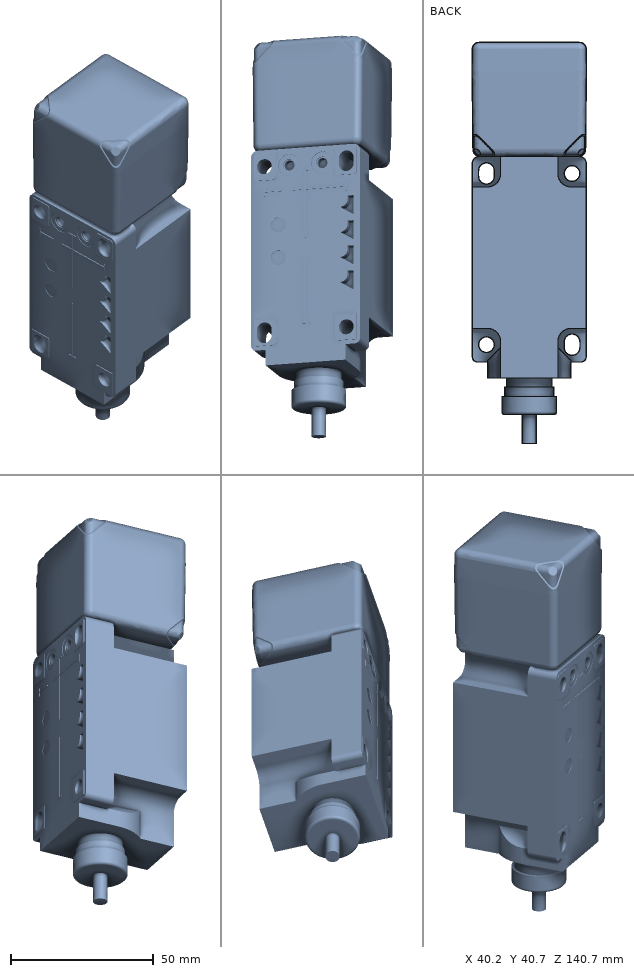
import cadquery as cq
import math

total_height = 140.65
hole_spacing_x = 30.0
hole_spacing_z = 60.0

head_size = 40.0
head_bottom = total_height - head_size
head_split_z = 130.4
head_split_half = 20.09
head_front_y = -20.0
head_front_setback = 0.03
head_bottom_half = 19.77
head_top_half = 20.0
head_fillet = 2.5
split_tolerance = 0.01

window_leg = 9.5
window_depth = 0.4
window_flat_leg = 5.1

housing_half = 20.0
housing_front_y = -20.35
housing_depth = 40.0
housing_back_y = housing_front_y + housing_depth
flange_thickness = 11.0
flange_back_y = housing_front_y + flange_thickness
flange_bottom = 28.5
flange_top_radius = 2.5
flange_bottom_radius = 2.0
housing_bottom = 22.9
core_half = 10.0
core_top_pocket_z = 89.9
core_bottom_pocket_z = 40.4
pocket_radius = 4.8

cable_y = -4.2
outlet_half = 14.6
outlet_slope_low_z = 29.1
gland_neck_radius = 8.0
gland_neck_bottom = 19.8
gland_collar_radius = 8.65
gland_collar_bottom = 16.5
gland_nut_radius = 9.62
gland_nut_bottom = 10.1
gland_nut_edge_radius = 1.0
cable_radius = 2.5

hole_diameter = 5.4
slot_length = 7.4
upper_hole_z = 94.65
lower_hole_z = upper_hole_z - hole_spacing_z
raised_height = 0.28
pad_inner_x = 10.8
pad_outer_x = 18.8
upper_pad_z = (89.7, 99.5)
lower_pad_z = (30.0, 39.35)
upper_pad_radius = 1.0
lower_pad_radius = 0.7
screw_x = 6.05
screw_seat_diameter = 8.0
screw_socket_diameter = 3.6
screw_rim_diameter = 4.4
screw_socket_depth = 3.0
lamp_x = -10.0
lamp_zs = (73.3, 61.5)
lamp_diameter = 5.4
seat_depth = 0.2
notch_count = 4
notch_pitch = 9.05
notch_first_z = 82.1
notch_right_x = 17.6
notch_step_x = 15.4
notch_tip_x = 12.7
notch_height = 6.9
notch_tip_drop = 3.9
notch_depth = 3.0
mark_width = 0.4
mark_tick = 3.2
mark_top_z = 92.3
mark_bottom_z = 37.1
mark_gap_z = (61.1, 67.9)
mark_row_z = 85.6
mark_gap_x = (-8.8, -4.5)

arc_middle = math.sqrt(0.5)


def box(x0, x1, y0, y1, z0, z1):
    return cq.Workplane("XY").box(x1 - x0, y1 - y0, z1 - z0, centered=False).translate((x0, y0, z0))


def front_plane(y):
    """Workplane facing -Y at depth y, with local axes along X and Z."""
    return cq.Workplane("XZ", origin=(0, y, 0))


def corner_block(sign_x, sign_y, z, sign_z, leg):
    """Block whose face is square to the corner diagonal and meets the corner's edges at equal legs."""
    x = sign_x * head_size / 2
    y = sign_y * head_size / 2
    diagonal = cq.Vector(sign_x, sign_y, sign_z).normalized()
    origin = cq.Vector(x, y, z) - diagonal * (leg / math.sqrt(3))
    face = cq.Workplane(cq.Plane(origin=origin, normal=diagonal))
    return face.rect(2 * leg, 2 * leg).extrude(leg)


def head_outline(half, front_y, inset, z):
    """Square-cornered head outline at height z: front at front_y, other sides at the given half size."""
    side = half - inset
    front = front_y + inset
    corners = [(-side, front), (side, front), (side, side), (-side, side)]
    return cq.Wire.makePolygon([cq.Vector(x, y, z) for x, y in corners], close=True)


def head_block(inset):
    """Rounded head drafted both ways from its split line; a positive inset shrinks every face."""
    end_front_y = head_front_y + head_front_setback
    bottom = head_outline(head_bottom_half, end_front_y, inset, head_bottom + inset)
    split = head_outline(head_split_half, head_front_y, inset, head_split_z)
    top = head_outline(head_top_half, end_front_y, inset, total_height - inset)
    lower = cq.Workplane(cq.Solid.makeLoft([bottom, split], True))
    upper = cq.Workplane(cq.Solid.makeLoft([split, top], True))
    block = lower.union(upper)
    outer_edges = block.edges().filter(lambda edge: abs(edge.Center().z - head_split_z) > split_tolerance)
    return outer_edges.fillet(head_fillet - inset)


def make_head():
    head = head_block(0)
    core = head_block(window_depth)
    for sign_x in (-1, 1):
        for sign_y, z, sign_z in ((-1, total_height, 1), (1, head_bottom, -1)):
            window = corner_block(sign_x, sign_y, z, sign_z, window_leg)
            flat = corner_block(sign_x, sign_y, z, sign_z, window_flat_leg)
            head = head.cut(window.cut(core)).cut(flat)
    return head


def make_flange():
    flange = box(-housing_half, housing_half, housing_front_y, flange_back_y, flange_bottom, head_bottom)
    flange = flange.edges("|Y and >Z").fillet(flange_top_radius)
    return flange.edges("|Y and <Z").fillet(flange_bottom_radius)


def make_rear_body():
    """Narrow core with a full-width middle; concave roots leave room behind the mounting holes."""
    r = pocket_radius
    high = core_top_pocket_z
    low = core_bottom_pocket_z
    dip = r * (1 - arc_middle)
    root = core_half + r
    near = core_half + dip
    profile = (
        front_plane(flange_back_y)
        .moveTo(-core_half, housing_bottom)
        .lineTo(core_half, housing_bottom)
        .lineTo(core_half, low - r)
        .threePointArc((near, low - dip), (root, low))
        .lineTo(housing_half, low)
        .lineTo(housing_half, high)
        .lineTo(root, high)
        .threePointArc((near, high + dip), (core_half, high + r))
        .lineTo(core_half, head_bottom)
        .lineTo(-core_half, head_bottom)
        .lineTo(-core_half, high + r)
        .threePointArc((-near, high + dip), (-root, high))
        .lineTo(-housing_half, high)
        .lineTo(-housing_half, low)
        .lineTo(-root, low)
        .threePointArc((-near, low - dip), (-core_half, low - r))
        .close()
    )
    return profile.extrude(flange_back_y - housing_back_y)


def make_cable_outlet():
    """Boss around the cable entry, flat-sided at the front and sloped on top."""
    rise = outlet_half - core_half
    top = outlet_slope_low_z + rise
    base = cq.Workplane("XY", origin=(0, cable_y, housing_bottom))
    boss = base.circle(outlet_half).extrude(top - housing_bottom)
    boss = boss.union(box(-outlet_half, outlet_half, housing_front_y, cable_y, housing_bottom, top))
    roof = [
        (-outlet_half, housing_bottom),
        (outlet_half, housing_bottom),
        (outlet_half, outlet_slope_low_z),
        (core_half, top),
        (-core_half, top),
        (-outlet_half, outlet_slope_low_z),
    ]
    return boss.intersect(cq.Workplane("XZ").polyline(roof).close().extrude(housing_depth, both=True))


def make_gland():
    def disc(radius, z0, z1):
        return cq.Workplane("XY", origin=(0, cable_y, z0)).circle(radius).extrude(z1 - z0)

    nut = disc(gland_nut_radius, gland_nut_bottom, gland_collar_bottom)
    nut = nut.faces("<Z").edges().fillet(gland_nut_edge_radius)
    gland = nut.union(disc(gland_collar_radius, gland_collar_bottom, gland_neck_bottom))
    gland = gland.union(disc(gland_neck_radius, gland_neck_bottom, housing_bottom))
    return gland.union(disc(cable_radius, 0, gland_nut_bottom))


def add_mounting_points(body):
    """Raised pads with a round hole and an upright slot on each row."""
    pad_front_y = housing_front_y - raised_height
    hole_x = hole_spacing_x / 2
    rows = (
        (upper_hole_z, upper_pad_z, upper_pad_radius, True, 1),
        (lower_hole_z, lower_pad_z, lower_pad_radius, False, -1),
    )
    for z, pad_z, radius, all_rounded, slot_side in rows:
        for side in (-1, 1):
            x0, x1 = sorted((side * pad_inner_x, side * pad_outer_x))
            pad = box(x0, x1, pad_front_y, housing_front_y, *pad_z)
            inner_edges = "|Y and <X" if side > 0 else "|Y and >X"
            rounded_edges = "|Y" if all_rounded else inner_edges
            body = body.union(pad.edges(rounded_edges).fillet(radius))
            sketch = front_plane(pad_front_y).center(side * hole_x, z)
            if side == slot_side:
                sketch = sketch.slot2D(slot_length, hole_diameter, 90)
            else:
                sketch = sketch.circle(hole_diameter / 2)
            body = body.cut(sketch.extrude(-flange_thickness - raised_height))
    return body


def cut_screws_and_lamps(body):
    def bore(x, z, diameter, depth):
        return front_plane(housing_front_y).center(x, z).circle(diameter / 2).extrude(-depth)

    rim_depth = (screw_rim_diameter - screw_socket_diameter) / 2
    for x in (-screw_x, screw_x):
        body = body.cut(bore(x, upper_hole_z, screw_seat_diameter, seat_depth))
        body = body.cut(bore(x, upper_hole_z, screw_rim_diameter, seat_depth + rim_depth))
        body = body.cut(bore(x, upper_hole_z, screw_socket_diameter, screw_socket_depth))
    for z in lamp_zs:
        body = body.cut(bore(lamp_x, z, lamp_diameter, seat_depth))
    return body


def cut_notches(body):
    """Column of pointed pockets along the right side of the front face."""
    width = notch_step_x - notch_tip_x
    for index in range(notch_count):
        top = notch_first_z - index * notch_pitch
        tip_z = top - notch_tip_drop
        notch = (
            front_plane(housing_front_y)
            .moveTo(notch_right_x, top)
            .lineTo(notch_step_x, top)
            .lineTo(notch_step_x, tip_z + width)
            .threePointArc(
                (notch_tip_x + width * arc_middle, tip_z + width * (1 - arc_middle)),
                (notch_tip_x, tip_z),
            )
            .lineTo(notch_right_x, top - notch_height)
            .close()
        )
        body = body.cut(notch.extrude(-notch_depth))
    return body


def add_spacing_marks(body):
    """Raised lines that show the mounting-hole spacing across and along the face."""
    half = mark_width / 2
    tick = mark_tick / 2
    reach = hole_spacing_x / 2
    marks = [
        (-half, half, mark_gap_z[1], mark_top_z),
        (-half, half, mark_bottom_z, mark_gap_z[0]),
        (-reach, mark_gap_x[0], mark_row_z - half, mark_row_z + half),
        (mark_gap_x[1], reach, mark_row_z - half, mark_row_z + half),
    ]
    for z in (mark_bottom_z, mark_top_z):
        marks.append((-tick, tick, z - half, z + half))
    for x in (-reach, reach):
        marks.append((x - half, x + half, mark_row_z - tick, mark_row_z + tick))
    for x0, x1, z0, z1 in marks:
        body = body.union(box(x0, x1, housing_front_y - raised_height, housing_front_y, z0, z1))
    return body


housing = make_flange().union(make_rear_body()).union(make_cable_outlet()).union(make_gland())
housing = add_mounting_points(housing)
housing = cut_screws_and_lamps(housing)
housing = cut_notches(housing)
housing = add_spacing_marks(housing)
result = housing.union(make_head())